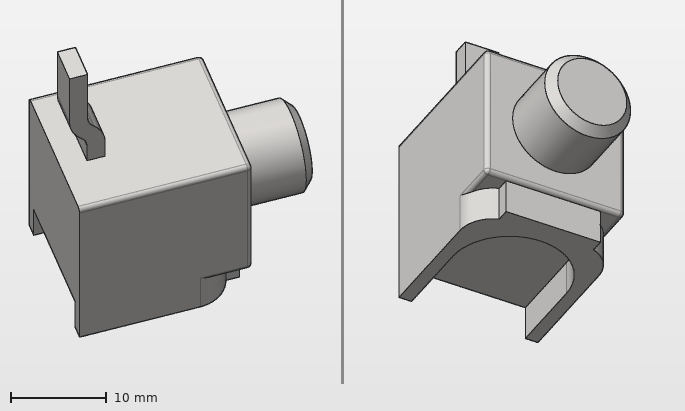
import cadquery as cq
import math

housing_width = 16.5
housing_depth = 19.0
housing_top = 20.0
foot_height = 4.0
edge_radius = 0.5

foot_depth = 17.2
foot_corner_radius = 3.9
tab_width = 11.2
tab_depth = housing_depth - edge_radius

recess_width = 13.5
wall_thickness = (housing_width - recess_width) / 2

barrel_diameter = 10.2
barrel_length = 8.0
barrel_chamfer = 1.0
barrel_height = 12.0

terminal_width = 4.0
terminal_thickness = 2.0
terminal_front = 1.0
terminal_top = 33.5
bend_offset = 1.92
bend_inner_radius = 2.0
bend_angle = math.radians(45)
bend_start = 22.25


def make_housing():
    """Box above the foot, rounded on every edge except those of the front face."""
    box = cq.Workplane("XY").workplane(offset=foot_height).box(
        housing_width, housing_depth, housing_top - foot_height, centered=(True, False, False)
    )
    return box.edges("not <Y").fillet(edge_radius)


def make_foot():
    """Foot and tab, run up past the housing's rounded lower edges so the walls stay flush."""
    height = foot_height + edge_radius
    foot = cq.Workplane("XY").box(housing_width, foot_depth, height, centered=(True, False, False))
    foot = foot.edges("|Z and >Y").fillet(foot_corner_radius)
    tab = cq.Workplane("XY").box(tab_width, tab_depth, height, centered=(True, False, False))
    return foot.union(tab)


def make_recess():
    """Slot with a half-round rear end, as deep as the foot is high."""
    radius = recess_width / 2
    arc_center = foot_depth - wall_thickness - radius
    return (
        cq.Workplane("XY")
        .moveTo(-radius, 0)
        .lineTo(-radius, arc_center)
        .threePointArc((0, arc_center + radius), (radius, arc_center))
        .lineTo(radius, 0)
        .close()
        .extrude(foot_height)
    )


def make_barrel():
    """Cylinder along +Y with a chamfered end."""
    barrel_plane = cq.Plane(origin=(0, housing_depth, barrel_height), xDir=(1, 0, 0), normal=(0, 1, 0))
    barrel = cq.Workplane(barrel_plane).circle(barrel_diameter / 2).extrude(barrel_length)
    return barrel.faces(">Y").chamfer(barrel_chamfer)


def make_terminal():
    """Strip profile in the YZ plane: two opposite bends joined by a short slanted length."""
    inner = bend_inner_radius
    outer = inner + terminal_thickness
    sine = math.sin(bend_angle)
    cosine = math.cos(bend_angle)
    slant_offset = bend_offset - (inner + outer) * (1 - cosine)
    bend_height = (inner + outer) * sine + slant_offset * sine / cosine
    bend_end = bend_start + bend_height

    upper_front = terminal_front
    upper_rear = upper_front + terminal_thickness
    lower_front = upper_front + bend_offset
    lower_rear = lower_front + terminal_thickness
    lower_center = lower_front - inner
    upper_center = upper_rear + inner

    def lower_bend(radius, angle):
        return (lower_center + radius * math.cos(angle), bend_start + radius * math.sin(angle))

    def upper_bend(radius, angle):
        return (upper_center - radius * math.cos(angle), bend_end - radius * math.sin(angle))

    half_angle = bend_angle / 2
    profile = (
        cq.Workplane("YZ")
        .moveTo(lower_rear, housing_top)
        .lineTo(lower_rear, bend_start)
        .threePointArc(lower_bend(outer, half_angle), lower_bend(outer, bend_angle))
        .lineTo(*upper_bend(inner, bend_angle))
        .threePointArc(upper_bend(inner, half_angle), (upper_rear, bend_end))
        .lineTo(upper_rear, terminal_top)
        .lineTo(upper_front, terminal_top)
        .lineTo(upper_front, bend_end)
        .threePointArc(upper_bend(outer, half_angle), upper_bend(outer, bend_angle))
        .lineTo(*lower_bend(inner, bend_angle))
        .threePointArc(lower_bend(inner, half_angle), (lower_front, bend_start))
        .lineTo(lower_front, housing_top)
        .close()
    )
    return profile.extrude(terminal_width / 2, both=True)


body = make_housing().union(make_foot()).cut(make_recess())
result = body.union(make_barrel()).union(make_terminal())